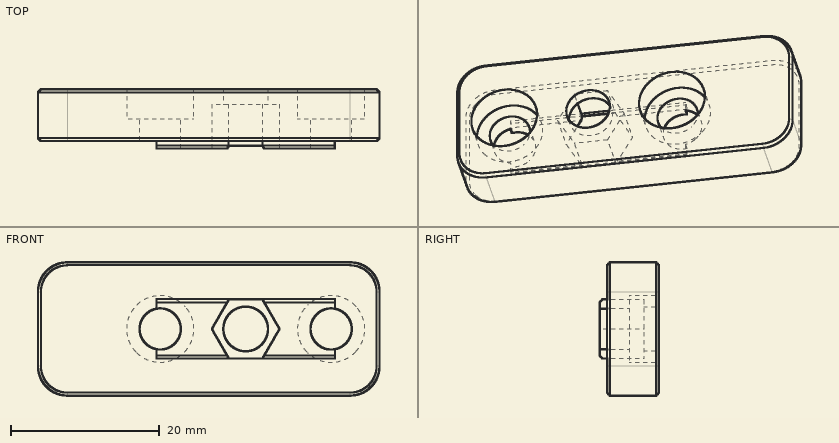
import cadquery as cq

plate_length = 46.0
plate_height = 18.0
plate_thickness = 7.0
corner_radius = 4.0
plate_chamfer = 0.4

rail_length = 24.0
rail_height = 8.0
rail_projection = 1.0
rail_chamfer = 0.4

rail_center_x = 4.95
side_hole_diameter = 5.5
side_hole_spacing = 11.5
counterbore_diameter = 9.0
counterbore_depth = 4.0
center_hole_diameter = 6.0
hex_corner_diameter = 9.1
hex_depth = 6.0

total_thickness = plate_thickness + rail_projection


def make_plate():
    """Rounded plate with both rims chamfered."""
    block = cq.Workplane("XY").box(
        plate_length, plate_thickness, plate_height, centered=(True, False, True)
    )
    rounded = block.edges("|Y").fillet(corner_radius)
    return rounded.faces("<Y or >Y").edges().chamfer(plate_chamfer)


def make_rail():
    """Rail whose long front edges are chamfered; its back lies on the plate."""
    rail = cq.Workplane("XY").box(rail_length, rail_projection, rail_height)
    rail = rail.faces("<Y").edges("|X").chamfer(rail_chamfer)
    return rail.translate((rail_center_x, -rail_projection / 2, 0))


def rail_workplane(depth):
    """Workplane at the rail centre, set back from the rail front, whose normal points into the part."""
    origin = (rail_center_x, depth - rail_projection, 0)
    return cq.Workplane(cq.Plane(origin=origin, xDir=(1, 0, 0), normal=(0, 1, 0)))


def side_cylinders(diameter, start_depth):
    """Pair of cylinders on the side hole axes, from a depth below the rail front to the back face."""
    positions = [(-side_hole_spacing, 0), (side_hole_spacing, 0)]
    sketch = rail_workplane(start_depth).pushPoints(positions).circle(diameter / 2)
    return sketch.extrude(total_thickness - start_depth)


side_holes = side_cylinders(side_hole_diameter, 0)
counterbores = side_cylinders(counterbore_diameter, total_thickness - counterbore_depth)
center_hole = rail_workplane(0).circle(center_hole_diameter / 2).extrude(total_thickness)
hex_pocket = rail_workplane(0).polygon(6, hex_corner_diameter).extrude(hex_depth)

result = make_plate().union(make_rail())
for cutter in (side_holes, counterbores, center_hole, hex_pocket):
    result = result.cut(cutter)